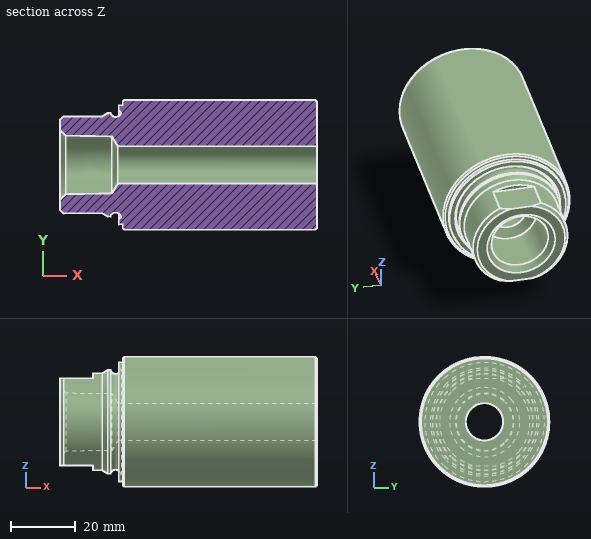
import cadquery as cq
import math

overall_length = 79.2
flat_length = 10.16
rib_ramp_start = 13.0
rib_crest_start = 14.72
rib_crest_end = 15.58
groove_center_x = 17.15
collar_face_x = 18.05
shoulder_x = 19.3

body_diameter = 40.13
collar_diameter = 36.83
rib_diameter = 32.0
nose_diameter = 29.97
groove_diameter = 29.6
collar_bore_diameter = 32.26
collar_wall_radius = 1.7

body_chamfer = 0.55
nose_chamfer = 1.1
collar_bore_chamfer = 0.58
flat_spacing = 27.0

mouth_diameter = 21.5
socket_start_diameter = 17.97
socket_end_diameter = 17.48
through_diameter = 11.43
mouth_depth = (mouth_diameter - socket_start_diameter) / 2
socket_end_x = 16.0
socket_bottom_half_angle = 59.0


def groove_point(angle_from_bottom, wall_radius):
    """Point (x, radius) on a round groove wall, at a signed angle from the lowest point of the groove."""
    angle = math.radians(angle_from_bottom)
    x = groove_center_x + wall_radius * math.sin(angle)
    radius = groove_diameter / 2 + wall_radius * (1 - math.cos(angle))
    return x, radius


def make_body():
    """Revolve the stepped outer profile around the X axis."""
    body_radius = body_diameter / 2
    collar_radius = collar_diameter / 2
    rib_radius = rib_diameter / 2
    nose_radius = nose_diameter / 2
    collar_bore_radius = collar_bore_diameter / 2

    rib_wall_depth = rib_radius - groove_diameter / 2
    rib_wall_width = groove_center_x - rib_crest_end
    rib_wall_radius = (rib_wall_width**2 + rib_wall_depth**2) / (2 * rib_wall_depth)
    rib_wall_angle = -math.degrees(math.asin(rib_wall_width / rib_wall_radius))

    collar_wall_height = collar_bore_radius - groove_diameter / 2
    collar_wall_angle = math.degrees(math.acos(1 - collar_wall_height / collar_wall_radius))

    profile = (
        cq.Workplane("XY")
        .moveTo(0, 0)
        .lineTo(0, nose_radius - nose_chamfer)
        .lineTo(nose_chamfer, nose_radius)
        .lineTo(rib_ramp_start, nose_radius)
        .lineTo(rib_crest_start, rib_radius)
        .lineTo(rib_crest_end, rib_radius)
        .threePointArc(
            groove_point(rib_wall_angle / 2, rib_wall_radius),
            (groove_center_x, groove_diameter / 2),
        )
        .threePointArc(
            groove_point(collar_wall_angle / 2, collar_wall_radius),
            groove_point(collar_wall_angle, collar_wall_radius),
        )
        .lineTo(collar_face_x, collar_bore_radius + collar_bore_chamfer)
        .lineTo(collar_face_x, collar_radius)
        .lineTo(shoulder_x, collar_radius)
        .lineTo(shoulder_x, body_radius - body_chamfer)
        .lineTo(shoulder_x + body_chamfer, body_radius)
        .lineTo(overall_length - body_chamfer, body_radius)
        .lineTo(overall_length, body_radius - body_chamfer)
        .lineTo(overall_length, 0)
        .close()
    )
    return profile.revolve(360, (0, 0, 0), (1, 0, 0))


def make_bore():
    """Revolve the mouth, tapered socket and through hole as one cutter."""
    socket_end_radius = socket_end_diameter / 2
    through_radius = through_diameter / 2
    cone_length = (socket_end_radius - through_radius) / math.tan(math.radians(socket_bottom_half_angle))

    profile = (
        cq.Workplane("XY")
        .moveTo(0, 0)
        .lineTo(0, mouth_diameter / 2)
        .lineTo(mouth_depth, socket_start_diameter / 2)
        .lineTo(socket_end_x, socket_end_radius)
        .lineTo(socket_end_x + cone_length, through_radius)
        .lineTo(overall_length, through_radius)
        .lineTo(overall_length, 0)
        .close()
    )
    return profile.revolve(360, (0, 0, 0), (1, 0, 0))


def make_flat_cutter(side):
    """Block that removes the nose beyond one wrench flat; side is +1 (top) or -1 (bottom)."""
    block_height = nose_diameter / 2
    center_z = side * (flat_spacing / 2 + block_height / 2)
    return (
        cq.Workplane("XY")
        .box(flat_length, nose_diameter, block_height)
        .translate((flat_length / 2, 0, center_z))
    )


result = make_body().cut(make_bore())
for flat_side in (1, -1):
    result = result.cut(make_flat_cutter(flat_side))